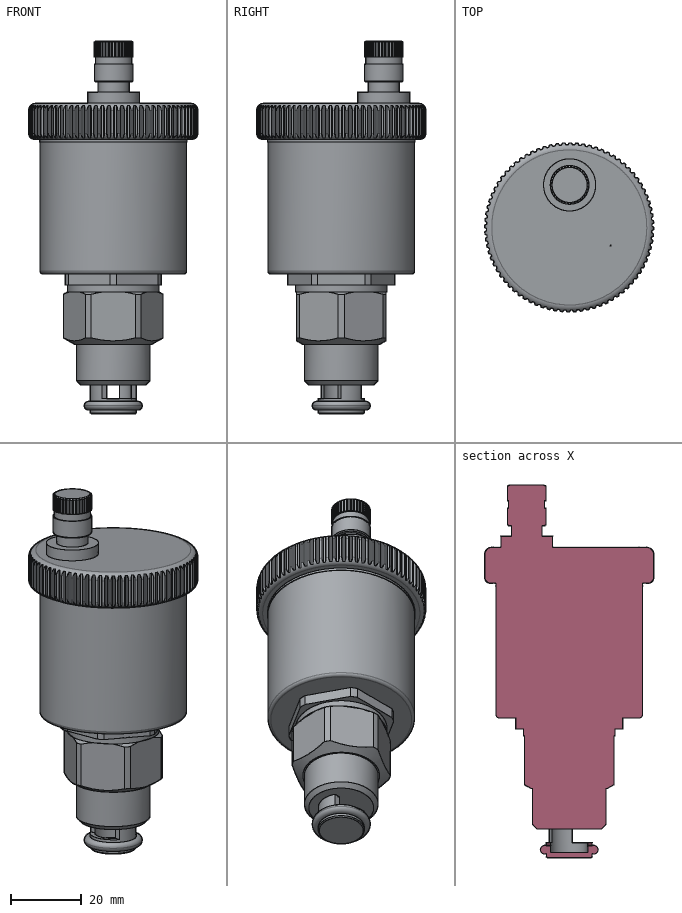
import cadquery as cq
import math

lip_top = 4.3
spigot_bottom = 8.1
hex_bottom = 19.6
hex_top = 34.5
nut_bottom = 36.4
body_bottom = 39.5
skirt_bottom = 76.8
cap_bottom = 77.6
cap_top = 87.8
flange_top = 91.0
barrel_bottom = 93.8
barrel_top = 98.9
knurl_bottom = 100.9
knob_top = 105.4

ring_radius = 6.5
ring_bore_radius = 5.2
ring_floor = 1.6
ring_chamfer = 0.3
leg_width = 6.6
leg_angle = 30
o_ring_section_radius = 1.3
o_ring_outer_radius = 8.2
o_ring_height = 2.3

spigot_radius = 10.4
spigot_chamfer = 1.3
hex_apothem = 12.6
hex_corner_radius = 14.1
hex_bottom_edge_radius = 10.9
hex_top_edge_radius = 13.0
hex_half_angle = 30
hex_chamfer_angle = 30
hex_chamfer_slope = math.tan(math.radians(hex_chamfer_angle))
neck_radius = 13.0
nut_apothem = 13.6
nut_corner_radius = 15.2

body_radius = 20.8
body_fillet = 0.8
skirt_radius = 20.9
cap_radius = 23.9
cap_top_fillet = 2.0
cap_bottom_fillet = 1.7
cap_tooth_count = 80
cap_groove_width = 1.3
cap_groove_floor_width = 0.5
cap_groove_depth = 0.5
cap_tooth_turn = -0.7

knob_x = 0.1
knob_y = 12.0
flange_radius = 7.4
stem_radius = 4.4
barrel_radius = 5.5
barrel_chamfer = 0.3
knob_neck_radius = 5.2
knurl_radius = barrel_radius
knurl_chamfer_width = 0.5
knurl_chamfer_height = 0.3
knurl_count = 36
knurl_groove_width = 0.4
knurl_groove_floor_width = 0.1
knurl_groove_depth = 0.26

margin = 1.1


def cylinder(radius, bottom, top):
    return cq.Workplane("XY").workplane(offset=bottom).circle(radius).extrude(top - bottom)


def revolved(points):
    """Solid of revolution about Z from (radius, height) points."""
    return cq.Workplane("XZ").polyline(points).close().revolve(360, (0, 0, 0), (0, 1, 0))


def hexagon(apothem, bottom, top, turn):
    """Hexagonal prism whose corner on +X is turned about Z by the given degrees."""
    corner_diameter = 2 * apothem / math.cos(math.radians(hex_half_angle))
    prism = cq.Workplane("XY").workplane(offset=bottom).polygon(6, corner_diameter).extrude(top - bottom)
    return prism.rotate((0, 0, 0), (0, 0, 1), turn)


def tooth_grooves(radius, depth, width, floor_width, count, bottom, top):
    """Ring of tapered vertical grooves, with a land (not a groove) centred on +X."""
    floor = radius - depth
    outside = radius + margin
    taper = (width - floor_width) / 2 / depth
    outside_half_width = width / 2 + taper * margin
    pitch = 360 / count
    cutter = (
        cq.Workplane("XY")
        .workplane(offset=bottom)
        .polyline([
            (floor, -floor_width / 2),
            (outside, -outside_half_width),
            (outside, outside_half_width),
            (floor, floor_width / 2),
        ])
        .close()
        .extrude(top - bottom)
    )
    cutters = [
        cutter.rotate((0, 0, 0), (0, 0, 1), (i + 0.5) * pitch).val()
        for i in range(count)
    ]
    return cq.Workplane(obj=cq.Compound.makeCompound(cutters))


def make_strainer():
    """Cupped lip carrying the O-ring, with two opposite legs rising to the spigot."""
    lip = cylinder(ring_radius, 0, lip_top).faces("<Z").edges().chamfer(ring_chamfer)
    leg_strip = (
        cq.Workplane("XY")
        .workplane(offset=lip_top)
        .rect(2 * (ring_radius + margin), leg_width)
        .extrude(spigot_bottom - lip_top)
        .rotate((0, 0, 0), (0, 0, 1), leg_angle)
    )
    legs = cylinder(ring_radius, lip_top, spigot_bottom).intersect(leg_strip)
    o_ring = (
        cq.Workplane("XZ")
        .moveTo(o_ring_outer_radius - o_ring_section_radius, o_ring_height)
        .circle(o_ring_section_radius)
        .revolve(360, (0, 0, 0), (0, 1, 0))
    )
    bore = cylinder(ring_bore_radius, ring_floor, spigot_bottom)
    return lip.union(legs).union(o_ring).cut(bore)


def make_fitting():
    """Spigot, hexagon with conical end chamfers, neck and lock nut."""
    spigot = cylinder(spigot_radius, spigot_bottom, hex_bottom).faces("<Z").edges().chamfer(spigot_chamfer)
    bottom_rise = (hex_corner_radius - hex_bottom_edge_radius) * hex_chamfer_slope
    top_drop = (hex_corner_radius - hex_top_edge_radius) * hex_chamfer_slope
    hex_envelope = revolved([
        (0, hex_bottom),
        (hex_bottom_edge_radius, hex_bottom),
        (hex_corner_radius, hex_bottom + bottom_rise),
        (hex_corner_radius, hex_top - top_drop),
        (hex_top_edge_radius, hex_top),
        (0, hex_top),
    ])
    wrench_hex = hexagon(hex_apothem, hex_bottom, hex_top, 0).intersect(hex_envelope)
    neck = cylinder(neck_radius, hex_top, nut_bottom)
    nut = hexagon(nut_apothem, nut_bottom, body_bottom, hex_half_angle)
    nut = nut.intersect(cylinder(nut_corner_radius, nut_bottom, body_bottom))
    return spigot.union(wrench_hex).union(neck).union(nut)


def make_body():
    """Float chamber with a rounded lower edge and a narrow skirt under the cap."""
    body = cylinder(body_radius, body_bottom, skirt_bottom).faces("<Z").edges().fillet(body_fillet)
    return body.union(cylinder(skirt_radius, skirt_bottom, cap_bottom))


def make_cap():
    """Rounded screw cap with gripping teeth around its rim."""
    cap = cylinder(cap_radius, cap_bottom, cap_top)
    cap = cap.faces(">Z").edges().fillet(cap_top_fillet)
    cap = cap.faces("<Z").edges().fillet(cap_bottom_fillet)
    grooves = tooth_grooves(
        cap_radius, cap_groove_depth, cap_groove_width, cap_groove_floor_width,
        cap_tooth_count, cap_bottom - margin, cap_top + margin,
    )
    return cap.cut(grooves).rotate((0, 0, 0), (0, 0, 1), cap_tooth_turn)


def make_knob():
    """Flange, stem, barrel and knurled grip stacked on the cap."""
    flange = cylinder(flange_radius, cap_top, flange_top)
    stem = cylinder(stem_radius, flange_top, barrel_bottom)
    barrel = cylinder(barrel_radius, barrel_bottom, barrel_top).faces("<Z").edges().chamfer(barrel_chamfer)
    neck = cylinder(knob_neck_radius, barrel_top, knurl_bottom)
    grip = revolved([
        (0, knurl_bottom),
        (knurl_radius, knurl_bottom),
        (knurl_radius, knob_top - knurl_chamfer_height),
        (knurl_radius - knurl_chamfer_width, knob_top),
        (0, knob_top),
    ])
    grip = grip.cut(tooth_grooves(
        knurl_radius, knurl_groove_depth, knurl_groove_width, knurl_groove_floor_width,
        knurl_count, knurl_bottom, knob_top,
    ))
    knob = flange.union(stem).union(barrel).union(neck).union(grip)
    return knob.translate((knob_x, knob_y, 0))


result = (
    make_fitting()
    .union(make_strainer())
    .union(make_body())
    .union(make_cap())
    .union(make_knob())
)